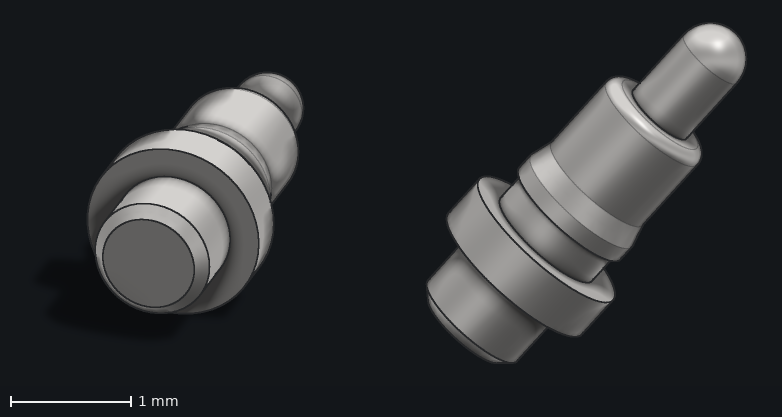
import cadquery as cq

total_length = 3.45

tail_radius = 0.5
tail_length = 0.65
tail_chamfer = 0.1

flange_diameter = 1.5
flange_thickness = 0.4

barrel_radius = 0.515
barrel_end = 2.5
barrel_fillet = 0.1

ring_radius = 0.57
ring_gap = 0.3
ring_width = 0.152
ring_taper_length = 0.2

plunger_radius = 0.3


def cylinder(radius, start, end):
    """Solid cylinder along +Y between two axial positions."""
    plane = cq.Plane(origin=(0, start, 0), xDir=(1, 0, 0), normal=(0, 1, 0))
    return cq.Workplane(plane).circle(radius).extrude(end - start)


flange_end = tail_length + flange_thickness
ring_start = flange_end + ring_gap
ring_end = ring_start + ring_width
taper_end = ring_end + ring_taper_length

tail = cylinder(tail_radius, 0, tail_length).faces("<Y").chamfer(tail_chamfer)
flange = cylinder(flange_diameter / 2, tail_length, flange_end)

barrel = cylinder(barrel_radius, flange_end, barrel_end).faces(">Y").edges().fillet(barrel_fillet)

ring = (
    cq.Workplane("XY")
    .moveTo(0, ring_start)
    .lineTo(ring_radius, ring_start)
    .lineTo(ring_radius, ring_end)
    .lineTo(barrel_radius, taper_end)
    .lineTo(0, taper_end)
    .close()
    .revolve(360, (0, 0, 0), (0, 1, 0))
)

dome_start = total_length - plunger_radius
plunger = cylinder(plunger_radius, barrel_end, dome_start)
dome = (
    cq.Workplane("XY")
    .moveTo(0, dome_start)
    .lineTo(plunger_radius, dome_start)
    .radiusArc((0, total_length), -plunger_radius)
    .close()
    .revolve(360, (0, 0, 0), (0, 1, 0))
)

result = tail.union(flange).union(barrel).union(ring).union(plunger).union(dome)